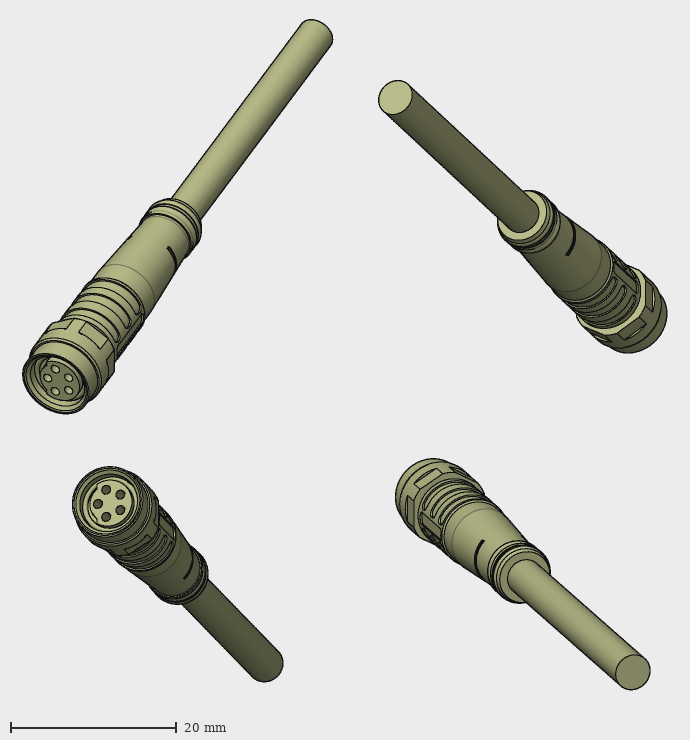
import cadquery as cq
import math


total_length = 75.1
cable_length = 40.0
cable_dia = 4.4
boot_end = total_length - cable_length

nut_dia = 9.6
nut_front_dia = 8.8
nut_shoulder_y = 2.5
nut_chamfer_end_y = 2.75
nut_chamfer_dia = 9.2
nut_flats_start_y = 4.8
nut_rear_y = 7.1
nut_across_flats = 9.0
flat_count = 6

mouth_dia = 8.0
mouth_chamfer_dia = 8.4
mouth_chamfer_depth = 0.1
bore_dia = 7.2
mouth_taper_end_y = 0.5
socket_depth = 2.4
seal_ring_dia = 6.4
seal_width = 0.65
seal_shoulder_y = 1.6
insert_dia = seal_ring_dia - seal_width
insert_face_y = 0.6
key_end_y = 1.5
key_inner_dia = 4.75
key_edge_x = -1.5

contact_dia = 1.1
contact_depth = 5.0
contact_places = ((-1.36, 0.0), (-0.34, 1.7), (-0.34, -1.7), (1.43, 0.97), (1.43, -0.97))

neck_dia = 6.5
grip_dia = 8.4
grip_front_y = 7.8
grip_rear_y = 16.6
grip_rear_chamfer = 0.25
body_dia = 8.0

panel_start_y = 8.6
panel_end_y = 16.2
panel_width = 1.56
panel_corner_radius = 0.45
panel_floor_x = 3.95
finger_groove_spans = ((8.6, 10.05), (11.6, 13.25), (14.55, 16.2))
finger_groove_end_z = 1.15
finger_groove_end_radius = 0.7
finger_groove_floor_dia = 8.0

taper_start_y = 19.75
taper_end_y = 31.1
taper_end_dia = 6.6
flank_groove_start_y = 26.8
flank_groove_end_y = 27.2
flank_groove_half_height = 2.45
flank_groove_depth = 0.1

ring_dia = 7.2
double_ring_dia = 7.1
ring_edge_dia = 6.95
ring_valley_dia = 6.8
boot_end_dia = 6.4
double_ring_start_y = 31.5
double_ring_end_y = 33.1
last_ring_start_y = 33.6
last_ring_end_y = 34.5


def cylinder(diameter, start_y, end_y):
    """Solid cylinder on the Y axis."""
    plane = cq.Workplane("XZ", origin=(0, start_y, 0))
    return plane.circle(diameter / 2).extrude(start_y - end_y)


def cone(start_dia, end_dia, start_y, end_y):
    """Solid frustum on the Y axis."""
    points = [(0, start_y), (start_dia / 2, start_y), (end_dia / 2, end_y), (0, end_y)]
    return cq.Workplane("XY").polyline(points).close().revolve(360, (0, 0), (0, 1))


def make_nut():
    """Coupling nut with a hexagonal rear and an open socket in front."""
    front = cylinder(nut_front_dia, 0, nut_shoulder_y)
    shoulder = cone(nut_chamfer_dia, nut_dia, nut_shoulder_y, nut_chamfer_end_y)
    rim = cylinder(nut_dia, nut_chamfer_end_y, nut_flats_start_y)
    corner_dia = nut_across_flats / math.cos(math.pi / flat_count)
    hexagon = (
        cq.Workplane("XZ", origin=(0, nut_flats_start_y, 0))
        .transformed(rotate=(0, 0, 180 / flat_count))
        .polygon(flat_count, corner_dia)
        .extrude(nut_flats_start_y - nut_rear_y)
    )
    rear = cylinder(nut_dia, nut_flats_start_y, nut_rear_y).intersect(hexagon)
    nut = front.union(shoulder).union(rim).union(rear)
    mouth = cone(mouth_chamfer_dia, mouth_dia, 0, mouth_chamfer_depth)
    taper = cone(mouth_dia, bore_dia, mouth_chamfer_depth, mouth_taper_end_y)
    bore = cylinder(bore_dia, mouth_taper_end_y, socket_depth)
    return nut.cut(mouth).cut(taper).cut(bore)


def make_insert():
    """Contact carrier with its key notch on the -X side and the round-nosed seal ring around it."""
    carrier = cylinder(insert_dia, insert_face_y, grip_front_y)
    key_ring = cylinder(mouth_dia, insert_face_y, key_end_y).cut(
        cylinder(key_inner_dia, insert_face_y, key_end_y)
    )
    key_side = cq.Workplane("XY").box(mouth_dia, total_length, mouth_dia).translate(
        (key_edge_x - mouth_dia / 2, 0, 0)
    )
    inner_radius = insert_dia / 2
    outer_radius = inner_radius + seal_width
    seal = (
        cq.Workplane("XY")
        .moveTo(0, seal_shoulder_y)
        .lineTo(inner_radius, seal_shoulder_y)
        .threePointArc((seal_ring_dia / 2, seal_shoulder_y - seal_width / 2), (outer_radius, seal_shoulder_y))
        .lineTo(outer_radius, nut_shoulder_y)
        .lineTo(0, nut_shoulder_y)
        .close()
        .revolve(360, (0, 0), (0, 1))
    )
    return carrier.cut(key_ring.intersect(key_side)).union(seal)


def make_contact_holes():
    """Blind holes for the contacts, sunk from the carrier face."""
    plane = cq.Workplane("XZ", origin=(0, insert_face_y, 0))
    return plane.pushPoints(contact_places).circle(contact_dia / 2).extrude(-contact_depth)


def make_finger_groove(start_y, end_y, side):
    """Shallow groove round the upper (side = 1) or lower (side = -1) half of the grip."""
    ring = cylinder(nut_dia, start_y, end_y).cut(cylinder(finger_groove_floor_dia, start_y, end_y))
    height = nut_dia
    window = (
        cq.Workplane("XY")
        .box(nut_dia, end_y - start_y, height)
        .edges("|X")
        .fillet(finger_groove_end_radius)
        .translate((0, (start_y + end_y) / 2, side * (finger_groove_end_z + height / 2)))
    )
    return ring.intersect(window)


def make_grip_panel(side):
    """Flat-bottomed lengthwise recess on the -X (side = -1) or +X (side = 1) flank."""
    depth = nut_dia / 2 - panel_floor_x
    return (
        cq.Workplane("XY")
        .box(depth, panel_end_y - panel_start_y, panel_width)
        .edges("|X")
        .fillet(panel_corner_radius)
        .translate((side * (panel_floor_x + depth / 2), (panel_start_y + panel_end_y) / 2, 0))
    )


def make_grip():
    """Neck and grip body with the recesses for the fingers."""
    neck = cylinder(neck_dia, nut_rear_y, grip_front_y)
    grip = cylinder(grip_dia, grip_front_y, grip_rear_y)
    rear = cone(grip_dia, body_dia, grip_rear_y, grip_rear_y + grip_rear_chamfer)
    grip = neck.union(grip).union(rear)
    for side in (-1, 1):
        grip = grip.cut(make_grip_panel(side))
        for start_y, end_y in finger_groove_spans:
            grip = grip.cut(make_finger_groove(start_y, end_y, side))
    return grip


def make_boot():
    """Straight body, taper and the rounded rings at the cable end."""
    body_radius = body_dia / 2
    crest = ring_dia / 2
    double_crest = double_ring_dia / 2
    edge = ring_edge_dia / 2
    valley = ring_valley_dia / 2
    double_ring_length = double_ring_end_y - double_ring_start_y
    double_ring_points = [
        (double_crest, double_ring_start_y + double_ring_length / 4),
        (valley, double_ring_start_y + double_ring_length / 2),
        (double_crest, double_ring_end_y - double_ring_length / 4),
        (edge, double_ring_end_y),
    ]
    profile = (
        cq.Workplane("XY")
        .moveTo(0, grip_rear_y)
        .lineTo(body_radius, grip_rear_y)
        .lineTo(body_radius, taper_start_y)
        .lineTo(taper_end_dia / 2, taper_end_y)
        .lineTo(taper_end_dia / 2, double_ring_start_y)
        .lineTo(edge, double_ring_start_y)
        .spline(double_ring_points, includeCurrent=True)
        .lineTo(valley, double_ring_end_y)
        .lineTo(valley, last_ring_start_y)
        .lineTo(edge, last_ring_start_y)
        .threePointArc((crest, (last_ring_start_y + last_ring_end_y) / 2), (valley, last_ring_end_y))
        .lineTo(boot_end_dia / 2, boot_end)
        .lineTo(0, boot_end)
        .close()
    )
    return profile.revolve(360, (0, 0), (0, 1)).cut(make_flank_grooves())


def make_flank_grooves():
    """Shallow grooves across the +X and -X flanks of the taper."""
    taper_slope = (body_dia - taper_end_dia) / (taper_end_y - taper_start_y)
    start_floor = body_dia - taper_slope * (flank_groove_start_y - taper_start_y) - 2 * flank_groove_depth
    end_floor = body_dia - taper_slope * (flank_groove_end_y - taper_start_y) - 2 * flank_groove_depth
    floor = cone(start_floor, end_floor, flank_groove_start_y, flank_groove_end_y)
    length = flank_groove_end_y - flank_groove_start_y
    window = (
        cq.Workplane("XY")
        .box(body_dia, length, 2 * flank_groove_half_height)
        .translate((0, flank_groove_start_y + length / 2, 0))
    )
    return window.cut(floor)


cable = cylinder(cable_dia, boot_end, total_length)
result = make_nut().union(make_insert()).union(make_grip()).union(make_boot()).union(cable)
result = result.cut(make_contact_holes())